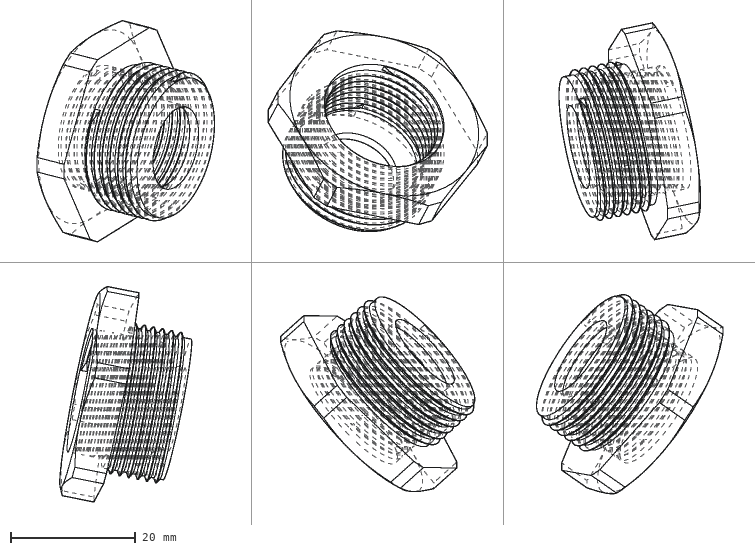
import cadquery as cq
import math

across_flats = 32.0
across_corners = 35.47
head_length = 6.0
corner_chamfer_depth = 0.78

body_diameter = 23.15
total_length = 16.0

external_start_x = 6.6
external_start_angle = 138.4
external_end_angle = 90.0 + 6 * 360
external_turns = (external_end_angle - external_start_angle) / 360
external_advance = 8.8
pitch = external_advance / external_turns

thread_height = 0.75
thread_root_width = 1.0
thread_tip_width = 0.1
thread_embed = 0.15
lead_angle = 11.0
lead_start_height = 0.018

bore_diameter = 20.3
bore_depth = 11.7
exit_diameter = 13.62
exit_length = 1.7
cone_start_diameter = bore_diameter - 2 * thread_height

internal_start_x = 0.67
internal_start_angle = 90.0
internal_turns = 7


def revolve_about_x(points):
    """Revolve an (x, radius) outline about the X axis."""
    return cq.Workplane("XY").polyline(points).close().revolve(360, (0, 0, 0), (1, 0, 0))


def ridge_section(wall_radius, outward, height, tip_width):
    """Corner points (radius, axial offset) of a ridge standing on a wall."""
    direction = 1 if outward else -1
    base_radius = wall_radius - direction * thread_embed
    tip_radius = wall_radius + direction * height
    flank_slope = (thread_root_width - tip_width) / 2 / thread_height
    half_base = thread_root_width / 2 + thread_embed * flank_slope
    half_tip = tip_width / 2
    return [
        (base_radius, -half_base),
        (tip_radius, -half_tip),
        (tip_radius, half_tip),
        (base_radius, half_base),
    ]


def section_wire(section, angle):
    """Place a ridge section at an angle along a helix about Z."""
    radians = math.radians(angle)
    rise = pitch * angle / 360
    corners = [
        cq.Vector(radius * math.cos(radians), radius * math.sin(radians), rise + offset)
        for radius, offset in section
    ]
    return cq.Wire.makePolygon(corners, close=True)


def helical_thread(wall_radius, outward, start_x, start_angle, turns):
    """Right-hand ridge on a cylinder about X, rising from the wall at both ends."""
    full_section = ridge_section(wall_radius, outward, thread_height, thread_tip_width)
    end_section = ridge_section(wall_radius, outward, lead_start_height, thread_root_width)
    end_angle = 360 * turns
    full_turns = turns - 2 * lead_angle / 360

    path = cq.Wire.makeHelix(pitch, pitch * full_turns, wall_radius)
    thread = (
        cq.Workplane("XZ")
        .polyline(full_section)
        .close()
        .sweep(cq.Workplane(path), isFrenet=True)
        .rotate((0, 0, 0), (0, 0, 1), lead_angle)
        .translate((0, 0, pitch * lead_angle / 360))
    )
    for tip_angle, full_angle in ((0, lead_angle), (end_angle, end_angle - lead_angle)):
        lead = cq.Solid.makeLoft(
            [section_wire(end_section, tip_angle), section_wire(full_section, full_angle)],
            True,
        )
        thread = thread.union(cq.Workplane(lead))

    return (
        thread
        .rotate((0, 0, 0), (0, 1, 0), 90)
        .rotate((0, 0, 0), (1, 0, 0), start_angle + 90)
        .translate((start_x, 0, 0))
    )


def hex_prism(width_across_flats, first_flat_angle):
    """Hexagonal prism along X, as long as the head."""
    circumscribed_diameter = width_across_flats / math.cos(math.pi / 6)
    return (
        cq.Workplane("YZ")
        .polygon(6, circumscribed_diameter)
        .extrude(head_length)
        .rotate((0, 0, 0), (1, 0, 0), first_flat_angle)
    )


def make_head():
    flat_radius = across_flats / 2
    corner_radius = across_corners / 2
    chamfer_slope = corner_chamfer_depth / (corner_radius - flat_radius)
    outer_radius = 1.1 * corner_radius
    cone_depth = (outer_radius - flat_radius) * chamfer_slope
    envelope = revolve_about_x([
        (0, 0),
        (0, flat_radius),
        (cone_depth, outer_radius),
        (head_length, outer_radius),
        (head_length, 0),
    ])
    corner_cutter = hex_prism(across_corners, 30)
    return hex_prism(across_flats, 0).intersect(corner_cutter).intersect(envelope)


def make_bore():
    """Straight bore with a flat floor, then a cone narrowing to the exit hole."""
    return revolve_about_x([
        (0, 0),
        (0, bore_diameter / 2),
        (bore_depth, bore_diameter / 2),
        (bore_depth, cone_start_diameter / 2),
        (total_length - exit_length, exit_diameter / 2),
        (total_length, exit_diameter / 2),
        (total_length, 0),
    ])


body = cq.Workplane("YZ").circle(body_diameter / 2).extrude(total_length)
external_thread = helical_thread(
    body_diameter / 2, True, external_start_x, external_start_angle, external_turns
)
internal_thread = helical_thread(
    bore_diameter / 2, False, internal_start_x, internal_start_angle, internal_turns
)

blank = make_head().union(body).union(external_thread)
result = blank.cut(make_bore()).union(internal_thread)